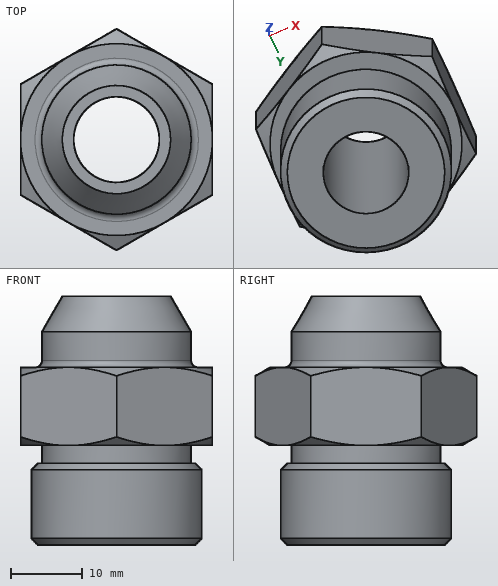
import cadquery as cq
import math

total_height = 35.0
thread_top = 11.5
hex_bottom = 14.0
hex_top = 25.0
cone_bottom = 30.0

bore_diameter = 12.0
thread_diameter = 24.0
thread_chamfer_width = 0.95
thread_chamfer_height = 0.95
neck_diameter = 21.0
cone_top_diameter = 15.22
root_fillet = 0.98

hex_sides = 6
half_side_angle = 180 / hex_sides
across_flats = 27.0
across_corners = across_flats / math.cos(math.radians(half_side_angle))
hex_chamfer_angle = 30.0


def turned_body():
    """Solid of revolution: thread, neck, weld spigot and its cone."""
    thread_r = thread_diameter / 2
    thread_end_r = thread_r - thread_chamfer_width
    neck_r = neck_diameter / 2
    fillet_mid = root_fillet * (1 - math.sqrt(0.5))
    return (
        cq.Workplane("XZ")
        .lineTo(thread_end_r, 0)
        .lineTo(thread_r, thread_chamfer_height)
        .lineTo(thread_r, thread_top - thread_chamfer_height)
        .lineTo(thread_end_r, thread_top)
        .lineTo(neck_r, thread_top)
        .lineTo(neck_r, hex_top)
        .lineTo(neck_r + root_fillet, hex_top)
        .threePointArc(
            (neck_r + fillet_mid, hex_top + fillet_mid),
            (neck_r, hex_top + root_fillet),
        )
        .lineTo(neck_r, cone_bottom)
        .lineTo(cone_top_diameter / 2, total_height)
        .lineTo(0, total_height)
        .close()
        .revolve(360, (0, 0), (0, 1))
    )


def hexagon():
    """Hexagon with corners on Y, both ends turned to a conical chamfer."""
    flat_r = across_flats / 2
    corner_r = across_corners / 2
    drop = (corner_r - flat_r) * math.tan(math.radians(hex_chamfer_angle))
    prism = (
        cq.Workplane("XY", origin=(0, 0, hex_bottom))
        .polygon(hex_sides, across_corners)
        .extrude(hex_top - hex_bottom)
        .rotate((0, 0, 0), (0, 0, 1), half_side_angle)
    )
    chamfer_envelope = (
        cq.Workplane("XZ")
        .moveTo(0, hex_bottom)
        .lineTo(flat_r, hex_bottom)
        .lineTo(corner_r, hex_bottom + drop)
        .lineTo(corner_r, hex_top - drop)
        .lineTo(flat_r, hex_top)
        .lineTo(0, hex_top)
        .close()
        .revolve(360, (0, 0), (0, 1))
    )
    return prism.intersect(chamfer_envelope)


bore = cq.Workplane("XY").circle(bore_diameter / 2).extrude(total_height)

result = turned_body().union(hexagon()).cut(bore)